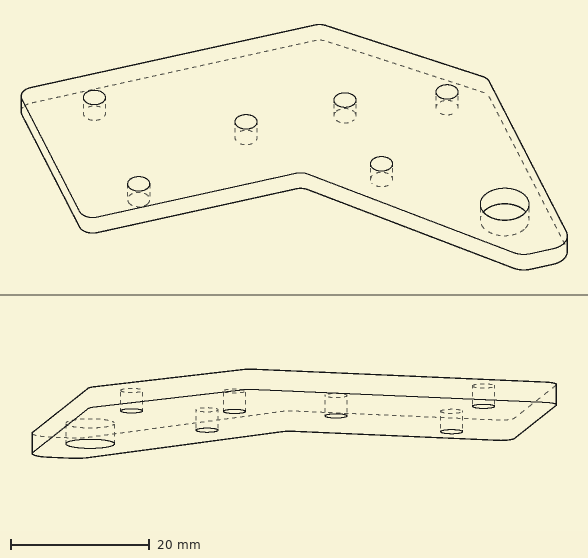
import cadquery as cq

length = 65.0
width = 57.5
thickness = 3.0

leg_width = 30.0
inner_corner_y = 33.15
left_corner_y = 46.0
top_corner_x = 19.0
arm_tip_y = 57.2

corner_radius = 2.0
arm_radius = 3.0

screw_diameter = 3.2
pivot_diameter = 7.0
end_hole_y = 10.0
upper_hole_y = 58.5
center_hole_x = 17.0
screw_centers = [
    (5.0, end_hole_y),
    (25.0, end_hole_y),
    (center_hole_x, 29.0),
    (center_hole_x, 44.0),
    (32.0, 44.5),
    (20.0, upper_hole_y),
]
pivot_center = (46.0, upper_hole_y)

outline = [
    (0, 0),
    (leg_width, 0),
    (leg_width, inner_corner_y),
    (width, arm_tip_y),
    (width, length),
    (top_corner_x, length),
    (0, left_corner_y),
]


def round_corners(body, corners, radius):
    """Round the vertical edges that stand on the given outline corners."""
    edges = body.newObject([])
    for x, y in corners:
        edges = edges.add(body.edges(cq.NearestToPointSelector((x, y, thickness / 2))))
    return edges.fillet(radius)


def drill(body, centers, diameter):
    """Cut through holes at the given centers."""
    cutters = cq.Workplane("XY").pushPoints(centers).circle(diameter / 2).extrude(thickness)
    return body.cut(cutters)


plate = cq.Workplane("XY").polyline(outline).close().extrude(thickness)
arm_corners = [(width, arm_tip_y), (width, length)]
other_corners = [corner for corner in outline if corner not in arm_corners]
plate = round_corners(plate, other_corners, corner_radius)
plate = round_corners(plate, arm_corners, arm_radius)

plate = drill(plate, screw_centers, screw_diameter)
result = drill(plate, [pivot_center], pivot_diameter)